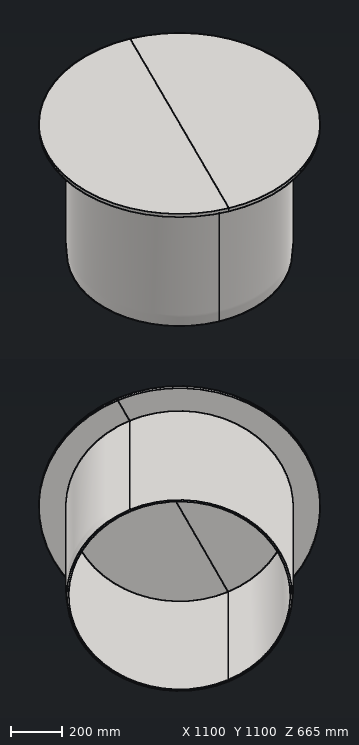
import cadquery as cq
import math

total_height = 665.0
lid_diameter = 1100.0
lid_thickness = 16.0
drum_outer_diameter = 890.0
drum_inner_diameter = 866.0
taper_end_diameter = 881.0
blend_top = 59.0
blend_height = 10.0

drum_height = total_height - lid_thickness
lid_radius = lid_diameter / 2
outer_radius = drum_outer_diameter / 2
inner_radius = drum_inner_diameter / 2
taper_end_radius = taper_end_diameter / 2

half_turn = 180
half_start_angles = (0, half_turn)


def half_revolve(profile, start_angle):
    """Sweep an XZ profile through half a turn about Z, from the start angle."""
    body = profile.revolve(half_turn, (0, 0, 0), (0, 1, 0))
    return body.rotate((0, 0, 0), (0, 0, 1), start_angle)


def make_half_lid(start_angle):
    """Semicircular cover plate resting on the drum rim."""
    profile = (
        cq.Workplane("XZ")
        .moveTo(0, drum_height)
        .lineTo(lid_radius, drum_height)
        .lineTo(lid_radius, total_height)
        .lineTo(0, total_height)
        .close()
    )
    return half_revolve(profile, start_angle)


def make_half_drum(start_angle):
    """Half of the open-ended drum: plain wall blended into a tapered lower edge."""
    tangent_length = blend_height / 2
    corner_height = blend_top - tangent_length
    taper_angle = math.atan2(outer_radius - taper_end_radius, corner_height)
    blend_end_radius = outer_radius - tangent_length * math.sin(taper_angle)
    blend_end_height = corner_height - tangent_length * math.cos(taper_angle)
    profile = (
        cq.Workplane("XZ")
        .moveTo(inner_radius, 0)
        .lineTo(inner_radius, drum_height)
        .lineTo(outer_radius, drum_height)
        .lineTo(outer_radius, blend_top)
        .tangentArcPoint((blend_end_radius, blend_end_height), relative=False)
        .lineTo(taper_end_radius, 0)
        .close()
    )
    return half_revolve(profile, start_angle)


half_lids = [make_half_lid(angle).val() for angle in half_start_angles]
half_drums = [make_half_drum(angle).val() for angle in half_start_angles]

result = cq.Compound.makeCompound([*half_lids, *half_drums])